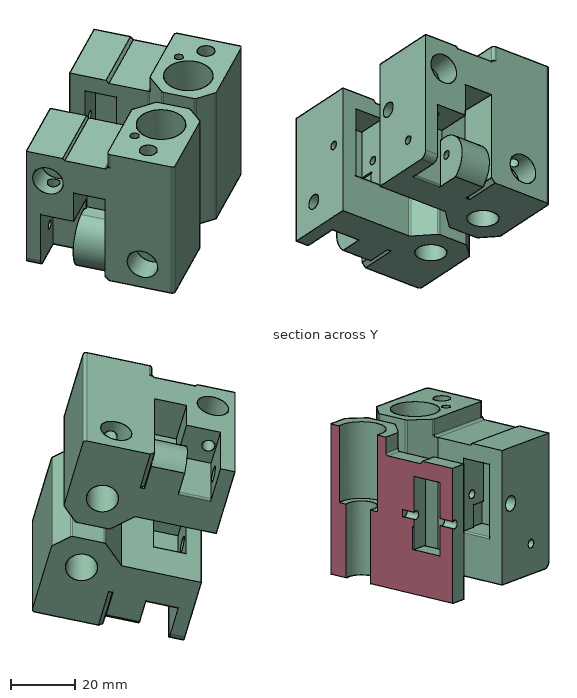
import cadquery as cq


LENGTH = 48.59
HEIGHT = 49.16
PAIR_WIDTH = 66.29

HEAD_X = 26.5
HEAD_DEPTH = 30.42
HEAD_FLAT_START_X = 32.6
HEAD_FLAT_END_X = 43.5
CORNER_RADIUS = 1.0

ARM_TOP_Z = 43.2
PAD_LENGTH = 11.95
STEP_FILLET = 0.8

GUIDE_X = 37.6
GUIDE_Y = 19.82
GUIDE_DIAMETER = 10.0
BUSH_DIAMETER = 15.4
BUSH_DEPTH = 25.0

SCREW_Y = 5.9
SCREW_DIAMETER = 4.6
SCREW_MOUTH_DIAMETER = 5.5
SCREW_MOUTH_DEPTH = 6.0
DOWEL_X = 31.67
DOWEL_DIAMETER = 2.8
DOWEL_DEPTH = 10.0

POCKET_DIAMETER = 10.0
POCKET_DEPTH = 8.5
HEAD_POCKET_X = 38.15
HEAD_POCKET_Z = 9.0
ARM_POCKET_X = 7.1
ARM_POCKET_Z = 34.05
PUSH_HOLE_DIAMETER = 4.0
PUSH_HOLE_Y = 5.8

LEG_WIDTH = 4.67
RECESS_HEIGHT = 20.3
RECESS_DEPTH = 12.0
RECESS_FLOOR_FILLET = 0.6
SLOT_START_X = 15.58
SLOT_END_X = 25.8
SLOT_HEIGHT = 31.3
SLOT_DEPTH = 13.0
SLOT_TAPER = 0.5
SLOT_LIP_CHAMFER = 1.4
LEG_FILLET = 2.3

BOSS_START_X = 15.06
BOSS_HEIGHT = 16.7
BOSS_RADIUS = 9.6
BOSS_CENTRE_Z = 7.3
BOSS_FRONT_Y = 1.0

WINDOW_START_X = 5.05
WINDOW_END_X = 15.4
WINDOW_BOTTOM_Z = 14.6
WINDOW_TOP_Z = 38.4
WINDOW_FLOOR_Y = 13.5
WINDOW_LIP_FILLET = 0.5
RELIEF_END_Y = 18.3
RELIEF_TOP_Z = 21.9
RELIEF_DEPTH = 0.6

UPPER_PIN = (19.17, 25.6)
LOWER_PIN = (9.0, 10.0)
PIN_DIAMETER = 2.8
PIN_CLEARANCE_DIAMETER = 5.0
PIN_REACH = 20.0


def box(x0, x1, y0, y1, z0, z1):
    """Block between two opposite corners."""
    return cq.Workplane("XY").box(x1 - x0, y1 - y0, z1 - z0, centered=False).translate((x0, y0, z0))


def x_cylinder(y, z, diameter, x0, x1):
    """Cylinder along X."""
    return cq.Workplane("YZ", origin=(x0, y, z)).circle(diameter / 2).extrude(x1 - x0)


def y_cylinder(x, z, diameter, depth):
    """Cylinder along Y that starts on the outer side."""
    return cq.Workplane("XZ", origin=(x, 0, z)).circle(diameter / 2).extrude(-depth)


def z_cylinder(x, y, diameter, z0, z1):
    """Cylinder along Z."""
    return cq.Workplane("XY", origin=(x, y, z0)).circle(diameter / 2).extrude(z1 - z0)


def blank(arm_depth, pad_top_z, root_fillet):
    """Arm and taller octagonal head, without pockets."""
    head_chamfer = LENGTH - HEAD_FLAT_END_X
    slope_start_x = HEAD_FLAT_START_X - (HEAD_DEPTH - arm_depth)
    wall_y = HEAD_DEPTH - (HEAD_FLAT_START_X - HEAD_X)

    lower = (
        cq.Workplane("XY")
        .polyline([
            (0, 0),
            (LENGTH, 0),
            (LENGTH, HEAD_DEPTH - head_chamfer),
            (HEAD_FLAT_END_X, HEAD_DEPTH),
            (HEAD_FLAT_START_X, HEAD_DEPTH),
            (slope_start_x, arm_depth),
            (0, arm_depth),
        ])
        .close()
        .extrude(ARM_TOP_Z)
        .edges("|Z and (>X or >Y)")
        .fillet(CORNER_RADIUS)
    )
    if root_fillet:
        at_root = cq.selectors.NearestToPointSelector((slope_start_x, arm_depth, ARM_TOP_Z / 2))
        lower = lower.edges("|Z").edges(at_root).fillet(root_fillet)

    upper = (
        cq.Workplane("XY", origin=(0, 0, ARM_TOP_Z))
        .polyline([
            (HEAD_X, 0),
            (LENGTH, 0),
            (LENGTH, HEAD_DEPTH - head_chamfer),
            (HEAD_FLAT_END_X, HEAD_DEPTH),
            (HEAD_FLAT_START_X, HEAD_DEPTH),
            (HEAD_X, wall_y),
        ])
        .close()
        .extrude(HEIGHT - ARM_TOP_Z)
        .edges("|Z")
        .fillet(CORNER_RADIUS)
    )

    pad_height = pad_top_z - ARM_TOP_Z
    pad = (
        cq.Workplane("XZ", origin=(0, 0, ARM_TOP_Z))
        .polyline([(0, 0), (PAD_LENGTH + pad_height, 0), (PAD_LENGTH, pad_height), (0, pad_height)])
        .close()
        .extrude(-arm_depth)
    )

    strip = (
        cq.Workplane("XZ", origin=(HEAD_X, 0, ARM_TOP_Z))
        .moveTo(-STEP_FILLET, 0)
        .radiusArc((0, STEP_FILLET), -STEP_FILLET)
        .lineTo(CORNER_RADIUS, STEP_FILLET)
        .lineTo(CORNER_RADIUS, 0)
        .close()
        .extrude(-HEAD_DEPTH)
        .intersect(lower.translate((0, 0, STEP_FILLET)))
    )
    return lower.union(upper).union(pad).union(strip)


def outer_recess():
    """Wide recess and tapered tall slot, with a rounded lower edge on the recess floor."""
    recess = box(LEG_WIDTH, SLOT_START_X, 0, RECESS_DEPTH, 0, RECESS_HEIGHT)
    slot = (
        cq.Workplane("XY")
        .polyline([
            (SLOT_START_X, 0),
            (SLOT_END_X, 0),
            (SLOT_END_X - SLOT_TAPER, SLOT_DEPTH),
            (SLOT_START_X, SLOT_DEPTH),
        ])
        .close()
        .extrude(SLOT_HEIGHT)
    )
    lip = (
        cq.Workplane("XZ")
        .polyline([
            (SLOT_END_X - SLOT_TAPER, 0),
            (SLOT_END_X + SLOT_LIP_CHAMFER, 0),
            (SLOT_END_X, SLOT_LIP_CHAMFER),
            (SLOT_END_X - SLOT_TAPER, SLOT_LIP_CHAMFER),
        ])
        .close()
        .extrude(-SLOT_DEPTH)
    )
    floor_edge = (
        cq.Workplane("YZ", origin=(LEG_WIDTH, RECESS_DEPTH, 0))
        .lineTo(RECESS_FLOOR_FILLET, 0)
        .radiusArc((0, RECESS_FLOOR_FILLET), RECESS_FLOOR_FILLET)
        .close()
        .extrude(BOSS_START_X - LEG_WIDTH)
    )
    return recess.union(slot).union(lip).union(floor_edge)


def boss():
    """Boss with a round nose cut flat above and below, running back into the floor of the slot."""
    centre_y = BOSS_FRONT_Y + BOSS_RADIUS
    nose = x_cylinder(centre_y, BOSS_CENTRE_Z, 2 * BOSS_RADIUS, BOSS_START_X, SLOT_END_X)
    root = box(BOSS_START_X, SLOT_END_X, centre_y, SLOT_DEPTH, 0, BOSS_HEIGHT)
    envelope = box(BOSS_START_X, SLOT_END_X, 0, SLOT_DEPTH, 0, BOSS_HEIGHT)
    return nose.union(root).intersect(envelope)


def inner_window(arm_depth):
    """Window from the inner side, with a rounded lower lip and a relief in one wall."""
    window = box(WINDOW_START_X, WINDOW_END_X, WINDOW_FLOOR_Y, arm_depth, WINDOW_BOTTOM_Z, WINDOW_TOP_Z)
    relief = box(
        WINDOW_END_X, WINDOW_END_X + RELIEF_DEPTH,
        WINDOW_FLOOR_Y, RELIEF_END_Y,
        WINDOW_BOTTOM_Z, RELIEF_TOP_Z,
    )
    lip = (
        cq.Workplane("YZ", origin=(WINDOW_START_X, arm_depth, WINDOW_BOTTOM_Z))
        .moveTo(-WINDOW_LIP_FILLET, 0)
        .radiusArc((0, -WINDOW_LIP_FILLET), WINDOW_LIP_FILLET)
        .lineTo(0, 0)
        .close()
        .extrude(WINDOW_END_X - WINDOW_START_X)
    )
    return window.union(relief).union(lip)


def leg_corner():
    """Waste outside the rounded bottom edge of the leg."""
    return (
        cq.Workplane("YZ")
        .lineTo(LEG_FILLET, 0)
        .radiusArc((0, LEG_FILLET), LEG_FILLET)
        .close()
        .extrude(LEG_WIDTH)
    )


def slide_block(arm_depth, pad_top_z, screw_x, dowel_y, clearance_pin, root_fillet, round_leg):
    """One complete block, with its outer side on y = 0."""
    block = blank(arm_depth, pad_top_z, root_fillet)
    block = block.cut(outer_recess()).union(boss()).cut(inner_window(arm_depth))
    if round_leg:
        block = block.cut(leg_corner())

    block = block.cut(z_cylinder(GUIDE_X, GUIDE_Y, GUIDE_DIAMETER, 0, HEIGHT))
    block = block.cut(z_cylinder(GUIDE_X, GUIDE_Y, BUSH_DIAMETER, HEIGHT - BUSH_DEPTH, HEIGHT))
    block = block.cut(z_cylinder(screw_x, SCREW_Y, SCREW_DIAMETER, HEAD_POCKET_Z, HEIGHT))
    block = block.cut(z_cylinder(screw_x, SCREW_Y, SCREW_MOUTH_DIAMETER, HEIGHT - SCREW_MOUTH_DEPTH, HEIGHT))
    block = block.cut(z_cylinder(DOWEL_X, dowel_y, DOWEL_DIAMETER, HEIGHT - DOWEL_DEPTH, HEIGHT))

    block = block.cut(y_cylinder(HEAD_POCKET_X, HEAD_POCKET_Z, POCKET_DIAMETER, POCKET_DEPTH))
    block = block.cut(y_cylinder(ARM_POCKET_X, ARM_POCKET_Z, POCKET_DIAMETER, POCKET_DEPTH))
    block = block.cut(
        z_cylinder(ARM_POCKET_X, PUSH_HOLE_Y, PUSH_HOLE_DIAMETER, RECESS_HEIGHT, ARM_POCKET_Z)
    )

    for y, z in (UPPER_PIN, LOWER_PIN):
        block = block.cut(x_cylinder(y, z, PIN_DIAMETER, 0, PIN_REACH))
    clearance_y, clearance_z = clearance_pin
    return block.cut(
        x_cylinder(clearance_y, clearance_z, PIN_CLEARANCE_DIAMETER, 0, WINDOW_START_X)
    )


right_block = slide_block(
    arm_depth=23.43,
    pad_top_z=43.9,
    screw_x=38.1,
    dowel_y=11.7,
    clearance_pin=UPPER_PIN,
    root_fillet=0,
    round_leg=True,
)

left_block = slide_block(
    arm_depth=23.92,
    pad_top_z=44.15,
    screw_x=38.73,
    dowel_y=11.5,
    clearance_pin=LOWER_PIN,
    root_fillet=1.0,
    round_leg=False,
).mirror("XZ").translate((0, PAIR_WIDTH, 0))

result = cq.Compound.makeCompound([right_block.val(), left_block.val()])